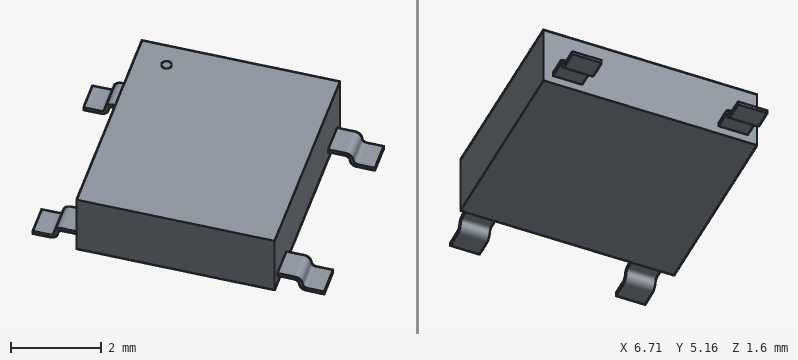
import cadquery as cq
import math

overall_length = 6.71
overall_height = 1.6

housing_length = 4.56
housing_width = 5.16
standoff = 0.05

lead_width = 0.705
lead_pitch = 4.0
lead_thickness = 0.09
lead_top = 0.36
foot_length = 0.395
bend_angle = 78.0
inner_radius = 0.095
outer_radius = inner_radius + lead_thickness

marker_diameter = 0.23
marker_depth = 0.035
marker_x = -1.54
marker_y = lead_pitch / 2


def make_marker():
    return (
        cq.Workplane("XY", origin=(marker_x, marker_y, overall_height - marker_depth))
        .circle(marker_diameter / 2)
        .extrude(marker_depth)
    )


def make_housing(marker):
    """Plain block with a recess that holds the marker."""
    block = cq.Workplane("XY", origin=(0, 0, standoff)).box(
        housing_length, housing_width, overall_height - standoff, centered=(True, True, False)
    )
    return block.cut(marker)


def make_left_lead(y_center):
    """S-bent strip from its foot tip up to the left housing face."""
    tip_x = -overall_length / 2
    housing_face_x = -housing_length / 2
    sine = math.sin(math.radians(bend_angle))
    cosine = math.cos(math.radians(bend_angle))
    half_sine = math.sin(math.radians(bend_angle / 2))
    half_cosine = math.cos(math.radians(bend_angle / 2))

    radius_sum = inner_radius + outer_radius
    rise = lead_top - lead_thickness
    web_length = (rise - radius_sum * (1 - cosine)) / sine

    lower_x = tip_x + foot_length
    lower_z = outer_radius
    upper_x = lower_x + radius_sum * sine + web_length * cosine
    upper_z = lead_top - outer_radius

    def lower_bend(radius, along_x, along_z):
        return (lower_x + radius * along_x, lower_z - radius * along_z)

    def upper_bend(radius, along_x, along_z):
        return (upper_x - radius * along_x, upper_z + radius * along_z)

    return (
        cq.Workplane("XZ", origin=(0, y_center + lead_width / 2, 0))
        .moveTo(tip_x, 0)
        .lineTo(lower_x, 0)
        .threePointArc(
            lower_bend(outer_radius, half_sine, half_cosine),
            lower_bend(outer_radius, sine, cosine),
        )
        .lineTo(*upper_bend(inner_radius, sine, cosine))
        .threePointArc(
            upper_bend(inner_radius, half_sine, half_cosine),
            (upper_x, upper_z + inner_radius),
        )
        .lineTo(housing_face_x, lead_top - lead_thickness)
        .lineTo(housing_face_x, lead_top)
        .lineTo(upper_x, lead_top)
        .threePointArc(
            upper_bend(outer_radius, half_sine, half_cosine),
            upper_bend(outer_radius, sine, cosine),
        )
        .lineTo(*lower_bend(inner_radius, sine, cosine))
        .threePointArc(
            lower_bend(inner_radius, half_sine, half_cosine),
            (lower_x, lead_thickness),
        )
        .lineTo(tip_x, lead_thickness)
        .close()
        .extrude(lead_width)
    )


marker = make_marker()
housing = make_housing(marker)

leads = []
for lead_y in (-lead_pitch / 2, lead_pitch / 2):
    left_lead = make_left_lead(lead_y)
    leads.append(left_lead.val())
    leads.append(left_lead.mirror("YZ").val())

result = cq.Compound.makeCompound([housing.val(), marker.val(), *leads])